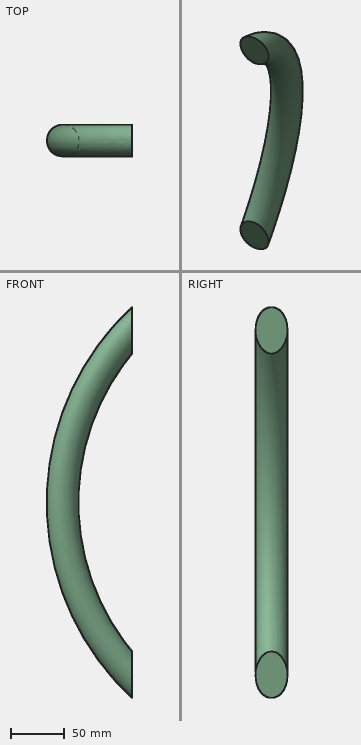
import cadquery as cq

height = 365.0
depth = 80.0
bar_diameter = 30.0

half_height = height / 2
outer_radius = (half_height**2 + depth**2) / (2 * depth)
centre_radius = outer_radius - bar_diameter / 2
arc_centre_x = outer_radius - depth

ring = (
    cq.Workplane("XY")
    .center(arc_centre_x + centre_radius, 0)
    .circle(bar_diameter / 2)
    .revolve(360, (-centre_radius, -3.5, 0), (-centre_radius, 3.5, 0))
)

block_size = 2 * height
bow_space = (
    cq.Workplane("XY")
    .box(block_size, block_size, block_size)
    .translate((-block_size / 2, 0, 0))
)

result = ring.intersect(bow_space)